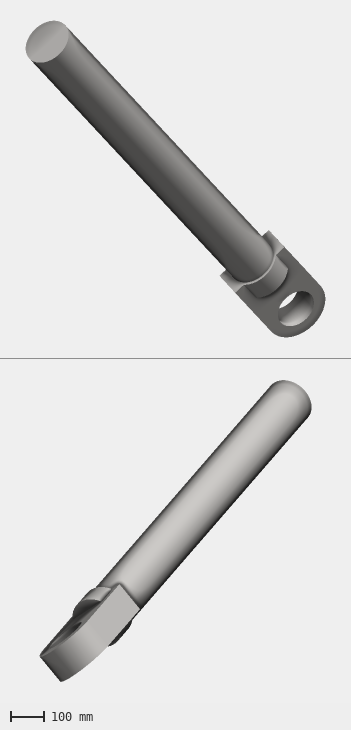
import cadquery as cq
import math

tilt_angle = 33.2
overall_height = 1395.0
rod_diameter = 146.0
eye_radius = 100.0
hole_diameter = 123.0
lug_thickness = 98.0
lug_length = 225.0
collar_diameter = 163.0
collar_height = 75.0

tilt = math.radians(tilt_angle)
rod_end_rise = rod_diameter / 2 * math.sin(tilt)
rod_length = (overall_height - eye_radius - rod_end_rise) / math.cos(tilt)


def make_lug():
    """Flat lug with a rounded end about the eye centre at the origin."""
    return (
        cq.Workplane("YZ")
        .moveTo(-eye_radius, 0)
        .threePointArc((0, -eye_radius), (eye_radius, 0))
        .lineTo(eye_radius, lug_length)
        .lineTo(-eye_radius, lug_length)
        .close()
        .extrude(lug_thickness / 2, both=True)
    )


def make_cylinder(diameter, bottom, top):
    """Round bar along the rod axis."""
    return cq.Workplane("XY").workplane(offset=bottom).circle(diameter / 2).extrude(top - bottom)


def make_eye_hole():
    """Cross pin hole through the lug."""
    return cq.Workplane("YZ").circle(hole_diameter / 2).extrude(lug_thickness, both=True)


collar = make_cylinder(collar_diameter, lug_length - collar_height, lug_length)
rod = make_cylinder(rod_diameter, lug_length, rod_length)
upright_part = make_lug().union(collar).union(rod).cut(make_eye_hole())

result = upright_part.rotate((0, 0, 0), (1, 0, 0), tilt_angle)